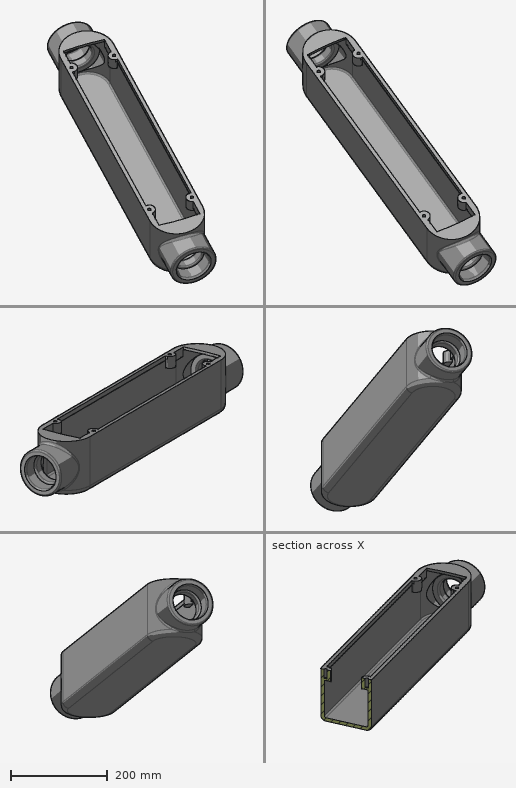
import cadquery as cq

TOTAL_LENGTH = 698.5
BODY_WIDTH = 117.0
BODY_HEIGHT = 122.0
BODY_LENGTH = 617.5
BOTTOM_ROUND = 12.5
WALL = 9.0
TOP_Z = BODY_HEIGHT / 2
BOTTOM_Z = -TOP_Z

CAVITY_WIDTH = BODY_WIDTH - 2 * WALL
END_WALL = 12.5
CAVITY_LENGTH = BODY_LENGTH - 2 * END_WALL
FLOOR_FILLET = BOTTOM_ROUND - WALL
END_PLATE = 6.0
OPENING_WIDTH = 91.0
OPENING_CORNER_X = 268.0
OPENING_BULGE = 2.0

RIM_PAD_HEIGHT = 21.0

RELIEF_DEPTH = 10.0
RELIEF_INSET = 1.0

SCREW_X = 218.5
SCREW_Y = 47.5
SCREW_DIAMETER = 6.4
SCREW_DEPTH = 21.0
BOSS_RADIUS = 12.5
BOSS_HEIGHT = 26.5

HUB_DIAMETER = 101.0
HUB_EDGE_ROUND = 3.5
HUB_ROOT_FILLET = 5.5

MOUTH_DIAMETER = 77.5
MOUTH_DEPTH = 5.5
SOCKET_DIAMETER = 73.0
SOCKET_DEPTH = 29.0
THROAT_DIAMETER = 61.0
THROAT_ROUND = 4.0
INNER_BORE_DIAMETER = 91.0
INNER_BORE_START_X = 237.5

HALF_LENGTH = TOTAL_LENGTH / 2


def obround(length, width, bottom, top):
    """Upright block with half-round ends."""
    return cq.Workplane("XY").workplane(offset=bottom).slot2D(length, width).extrude(top - bottom)


def block(x_range, y_range, z_range):
    """Box between the given limits on each axis."""
    sizes = [high - low for low, high in (x_range, y_range, z_range)]
    return cq.Workplane("XY").box(*sizes, centered=False).translate((x_range[0], y_range[0], z_range[0]))


def both_ends(solid):
    """The solid together with its mirror image at the other end."""
    return solid.union(solid.mirror("YZ"))


def both_sides(solid):
    """The solid together with its mirror image on the other long side."""
    return solid.union(solid.mirror("XZ"))


def outer_shell():
    """Body with both hubs, the bottom edge rounded and the hub roots filleted."""
    body = obround(BODY_LENGTH, BODY_WIDTH, BOTTOM_Z, TOP_Z).faces("<Z").edges().fillet(BOTTOM_ROUND)
    hubs = cq.Workplane("YZ").circle(HUB_DIAMETER / 2).extrude(HALF_LENGTH, both=True)
    hubs = hubs.faces("<X or >X").edges().fillet(HUB_EDGE_ROUND)
    shell = body.union(hubs)

    round_start = (BODY_LENGTH - BODY_WIDTH) / 2
    round_end = BODY_LENGTH / 2
    margin = 1.0
    reach = HUB_DIAMETER / 2 + margin
    for near, far in ((-round_end, -round_start), (round_start, round_end)):
        root = cq.selectors.BoxSelector(
            (near - margin, -reach, -reach), (far + margin, reach, reach), boundingbox=True
        )
        shell = shell.edges(root).fillet(HUB_ROOT_FILLET)
    return shell


def opening():
    """Hole through the top, with slightly bowed ends."""
    corner_y = OPENING_WIDTH / 2
    bow_x = OPENING_CORNER_X + OPENING_BULGE
    return (
        cq.Workplane("XY")
        .workplane(offset=TOP_Z - END_PLATE)
        .moveTo(-OPENING_CORNER_X, -corner_y)
        .lineTo(OPENING_CORNER_X, -corner_y)
        .threePointArc((bow_x, 0), (OPENING_CORNER_X, corner_y))
        .lineTo(-OPENING_CORNER_X, corner_y)
        .threePointArc((-bow_x, 0), (-OPENING_CORNER_X, -corner_y))
        .close()
        .extrude(END_PLATE)
    )


def cavity():
    """Main hollow with a filleted floor, open through the top."""
    hollow = obround(CAVITY_LENGTH, CAVITY_WIDTH, BOTTOM_Z + WALL, TOP_Z - END_PLATE)
    return hollow.faces("<Z").edges().fillet(FLOOR_FILLET).union(opening())


def rim_relief():
    """Slot between the bosses that opens the top over the cavity and steps both long walls back."""
    half_run = SCREW_X - BOSS_RADIUS
    half_width = CAVITY_WIDTH / 2 + RELIEF_INSET
    return block((-half_run, half_run), (-half_width, half_width), (TOP_Z - RELIEF_DEPTH, TOP_Z))


def hub_bores():
    """Turned profile of one hub's bores, revolved about the X axis, at both ends."""
    socket_end = HALF_LENGTH - SOCKET_DEPTH
    inner_end = CAVITY_LENGTH / 2
    throat_radius = THROAT_DIAMETER / 2
    flare_radius = throat_radius + THROAT_ROUND
    inner_radius = INNER_BORE_DIAMETER / 2
    profile = (
        cq.Workplane("XY")
        .moveTo(HALF_LENGTH, 0)
        .lineTo(HALF_LENGTH, MOUTH_DIAMETER / 2)
        .lineTo(HALF_LENGTH - MOUTH_DEPTH, SOCKET_DIAMETER / 2)
        .lineTo(socket_end, flare_radius)
        .radiusArc((socket_end - THROAT_ROUND, throat_radius), THROAT_ROUND)
        .lineTo(inner_end + THROAT_ROUND, throat_radius)
        .radiusArc((inner_end, flare_radius), THROAT_ROUND)
        .lineTo(inner_end, inner_radius)
        .lineTo(INNER_BORE_START_X, inner_radius)
        .lineTo(INNER_BORE_START_X, 0)
        .close()
    )
    return both_ends(profile.revolve(360, (0, 0, 0), (1, 0, 0)))


def rim_pads():
    """Four thickened stretches of rim running from the bosses to the ends of the opening."""
    pad = block(
        (SCREW_X, OPENING_CORNER_X),
        (OPENING_WIDTH / 2, CAVITY_WIDTH / 2 + WALL / 2),
        (TOP_Z - RIM_PAD_HEIGHT, TOP_Z),
    )
    return both_ends(both_sides(pad)).intersect(obround(BODY_LENGTH, BODY_WIDTH, BOTTOM_Z, TOP_Z))


def bosses():
    """Four round screw bosses, each squared off into the wall behind it."""
    round_part = cq.Workplane("XY").center(SCREW_X, SCREW_Y).circle(BOSS_RADIUS).extrude(BOSS_HEIGHT)
    boss = round_part.translate((0, 0, TOP_Z - BOSS_HEIGHT)).union(
        block(
            (SCREW_X - BOSS_RADIUS, SCREW_X + BOSS_RADIUS),
            (SCREW_Y, CAVITY_WIDTH / 2 + WALL / 2),
            (TOP_Z - BOSS_HEIGHT, TOP_Z),
        )
    )
    return both_ends(both_sides(boss)).intersect(obround(BODY_LENGTH, BODY_WIDTH, BOTTOM_Z, TOP_Z))


def screw_holes():
    """Blind holes for the cover screws."""
    return (
        cq.Workplane("XY")
        .workplane(offset=TOP_Z)
        .rect(2 * SCREW_X, 2 * SCREW_Y, forConstruction=True)
        .vertices()
        .circle(SCREW_DIAMETER / 2)
        .extrude(-SCREW_DEPTH)
    )


result = outer_shell().cut(cavity()).cut(rim_relief()).cut(hub_bores())
result = result.union(rim_pads()).union(bosses()).cut(screw_holes())